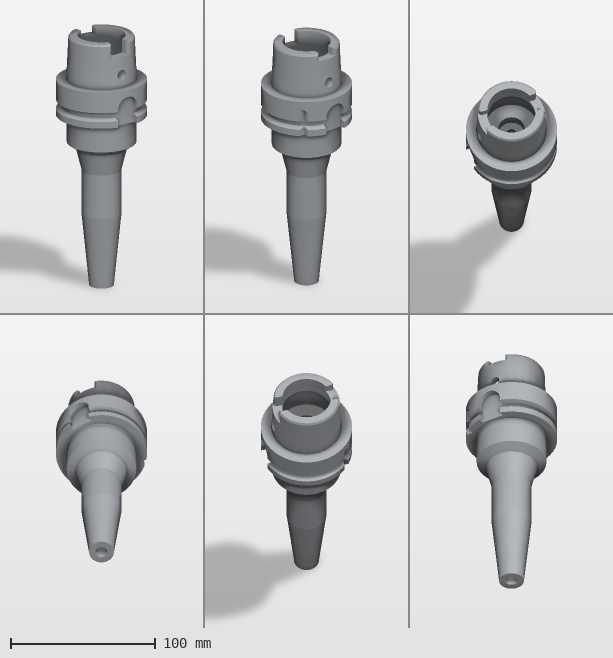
import cadquery as cq
import math

total_height = 182.0

tip_radius = 8.5
nose_radius = 13.8
nose_taper_top = 52.5
nose_top = 84.0
shoulder_radius = 17.8
shoulder_bottom = 100.1
neck_radius = 24.0
neck_bottom = 104.3
neck_relief_height = 0.7
relief_radius = 24.5

flange_radius = 31.5
flange_bottom = 124.1
flange_top = 150.2
groove_radius = 27.7
groove_bottom = 128.9
groove_top = 135.2
groove_wall_rise = 1.6

shank_base_radius = 24.4
shank_top_radius = 23.0
shank_edge_height = 1.5
shank_edge_inset = 1.0

mouth_radius = 16.7
mouth_depth = 13.3
chamber_radius = 18.5
chamber_depth = 31.0
counterbore_radius = 9.1
counterbore_depth = 40.0
through_radius = 4.2
cross_hole_radius = 3.6
cross_hole_height = 159.0

drive_slot_half_width = 6.2
drive_slot_round = 2.5
drive_slot_face = 21.3
left_drive_slot_depth = 5.5
right_drive_slot_depth = 9.8

keyway_radius = 8.0
keyway_center_height = 137.2
keyway_floor = 26.8

notch_radius = 4.7
notch_offset = 24.5
notch_floor = 20.4
notch_center_height = 140.0


def revolved(points):
    """Revolve a closed (radius, height) outline about the Z axis."""
    return cq.Workplane("XZ").polyline(points).close().revolve(360, (0, 0, 0), (0, 1, 0))


def turned_body():
    points = [
        (0, 0),
        (tip_radius, 0),
        (nose_radius, nose_taper_top),
        (nose_radius, nose_top),
        (shoulder_radius, shoulder_bottom),
        (neck_radius, neck_bottom),
        (neck_radius, flange_bottom - neck_relief_height),
        (relief_radius, flange_bottom),
        (flange_radius, flange_bottom),
        (flange_radius, groove_bottom),
        (groove_radius, groove_bottom + groove_wall_rise),
        (groove_radius, groove_top - groove_wall_rise),
        (flange_radius, groove_top),
        (flange_radius, flange_top),
        (shank_base_radius, flange_top),
        (shank_top_radius, total_height - shank_edge_height),
        (shank_top_radius - shank_edge_inset, total_height),
        (0, total_height),
    ]
    return revolved(points)


def bores():
    points = [
        (0, 0),
        (through_radius, 0),
        (through_radius, total_height - counterbore_depth),
        (counterbore_radius, total_height - counterbore_depth),
        (counterbore_radius, total_height - chamber_depth),
        (chamber_radius, total_height - chamber_depth),
        (chamber_radius, total_height - mouth_depth),
        (mouth_radius, total_height - mouth_depth),
        (mouth_radius, total_height),
        (0, total_height),
    ]
    return revolved(points)


def cross_hole():
    return (
        cq.Workplane("YZ")
        .center(0, cross_hole_height)
        .circle(cross_hole_radius)
        .extrude(flange_radius, both=True)
    )


def drive_slot(depth):
    """Slot on the +X side whose outer corners are rounded out to a flat face."""
    round_start = drive_slot_face - drive_slot_round
    flare_half_width = drive_slot_half_width + drive_slot_round
    flare_end = shank_base_radius
    round_offset = drive_slot_round * math.sqrt(0.5)
    return (
        cq.Workplane("XY", origin=(0, 0, total_height - depth))
        .moveTo(0, -drive_slot_half_width)
        .lineTo(round_start, -drive_slot_half_width)
        .threePointArc(
            (round_start + round_offset, round_offset - flare_half_width),
            (drive_slot_face, -flare_half_width),
        )
        .lineTo(drive_slot_face, -flare_end)
        .lineTo(flange_radius, -flare_end)
        .lineTo(flange_radius, flare_end)
        .lineTo(drive_slot_face, flare_end)
        .lineTo(drive_slot_face, flare_half_width)
        .threePointArc(
            (round_start + round_offset, flare_half_width - round_offset),
            (round_start, drive_slot_half_width),
        )
        .lineTo(0, drive_slot_half_width)
        .close()
        .extrude(depth)
    )


def keyway(radius, center_height, floor, offset=0):
    """Flat-floored keyway on the +X side, round on top and open at the flange bottom."""
    reach = flange_radius - floor
    return (
        cq.Workplane("YZ", origin=(floor, offset, 0))
        .moveTo(-radius, flange_bottom)
        .lineTo(-radius, center_height)
        .threePointArc((0, center_height + radius), (radius, center_height))
        .lineTo(radius, flange_bottom)
        .close()
        .extrude(reach)
    )


def half_turn(shape):
    """Move a cut from the +X side to the -X side."""
    return shape.rotate((0, 0, 0), (0, 0, 1), 180)


result = turned_body().cut(bores()).cut(cross_hole())
result = result.cut(drive_slot(right_drive_slot_depth))
result = result.cut(half_turn(drive_slot(left_drive_slot_depth)))
main_keyway = keyway(keyway_radius, keyway_center_height, keyway_floor)
coding_notch = keyway(notch_radius, notch_center_height, notch_floor, -notch_offset)
result = result.cut(main_keyway)
result = result.cut(half_turn(main_keyway))
result = result.cut(half_turn(coding_notch))